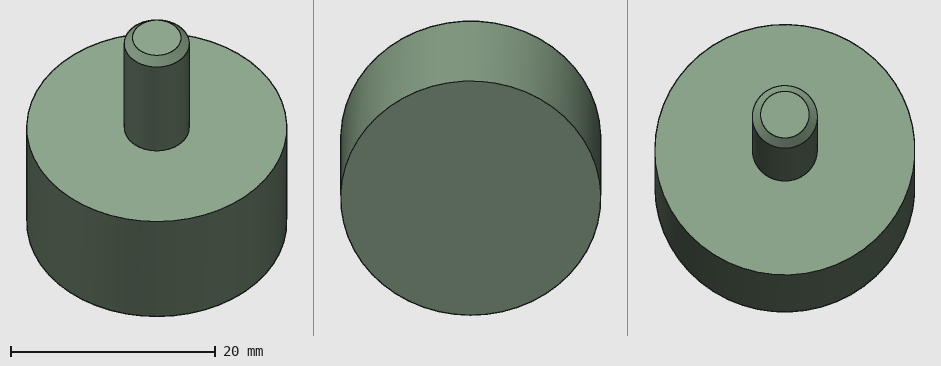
import cadquery as cq

total_height = 26.15
body_diameter = 25.4
stud_diameter = 6.35
stud_length = 12.7
tip_chamfer = 0.8

body_height = total_height - stud_length

body = cq.Workplane("XY").circle(body_diameter / 2).extrude(body_height)

stud = (
    cq.Workplane("XY")
    .workplane(offset=body_height)
    .circle(stud_diameter / 2)
    .extrude(stud_length)
    .faces(">Z")
    .chamfer(tip_chamfer)
)

result = body.union(stud)